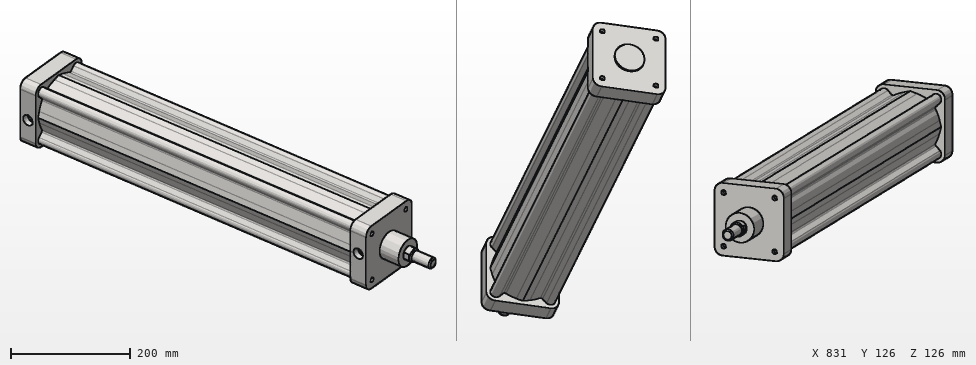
import cadquery as cq
import math

total_length = 831.0
rear_face = -total_length / 2
rod_tip = total_length / 2

cap_side = 126.0
cap_thickness = 33.0
cap_corner_radius = 15.0
collar_radius = 26.0
rear_collar_height = 3.0
front_collar_height = 40.0
bolt_spacing = 93.0
bolt_hole_diameter = 8.0
bolt_hole_depth = 8.0
port_diameter = 20.0
port_offset = 8.0
port_depth = 12.5

barrel_length = 667.0
lobe_centre = 47.0
lobe_radius = 9.0
ridge_height = lobe_centre + lobe_radius
ridge_half_width = 12.0
ridge_slope = math.radians(15)
bulge_radius = 83.0
valley_fillet = 3.0

rod_diameter = 25.0
flats_width = 22.0
flats_length = 12.0
shoulder_length = 16.0
shoulder_chamfer = 2.5
thread_diameter = 20.0
thread_chamfer = 2.5

rear_cap_start = rear_face + rear_collar_height
barrel_start = rear_cap_start + cap_thickness
barrel_end = barrel_start + barrel_length
front_cap_end = barrel_end + cap_thickness
front_collar_end = front_cap_end + front_collar_height
shoulder_end = front_collar_end + shoulder_length


def disc_along_x(start, end, diameter):
    """Solid cylinder on the X axis between two stations."""
    return cq.Workplane("YZ", origin=(start, 0, 0)).circle(diameter / 2).extrude(end - start)


def make_cap(inner_x, outward, collar_height, port_z):
    """Square end cap on the barrel end at inner_x; outward is the X direction of its collar."""
    outer_x = inner_x + outward * cap_thickness
    cap = (
        cq.Workplane("YZ", origin=(inner_x, 0, 0))
        .rect(cap_side, cap_side)
        .extrude(outward * cap_thickness)
        .edges("|X")
        .fillet(cap_corner_radius)
    )
    cap = cap.union(disc_along_x(outer_x, outer_x + outward * collar_height, 2 * collar_radius))

    bolt_holes = (
        cq.Workplane("YZ", origin=(outer_x, 0, 0))
        .rect(bolt_spacing, bolt_spacing, forConstruction=True)
        .vertices()
        .circle(bolt_hole_diameter / 2)
        .extrude(-outward * bolt_hole_depth)
    )
    port = (
        cq.Workplane("XZ", origin=((inner_x + outer_x) / 2, -cap_side / 2, port_z))
        .circle(port_diameter / 2)
        .extrude(-port_depth)
    )
    return cap.cut(bolt_holes).cut(port)


def bulge_centre():
    """Centre (along the side, outward) of the bulge arc, tangent to the ridge slope at its shoulder."""
    shoulder_height = ridge_height - ridge_half_width * math.tan(ridge_slope)
    return (
        ridge_half_width - bulge_radius * math.sin(ridge_slope),
        shoulder_height - bulge_radius * math.cos(ridge_slope),
    )


def bulge_point(along):
    """Point (along the side, outward) on the bulge arc."""
    centre_along, centre_out = bulge_centre()
    return along, centre_out + math.sqrt(bulge_radius**2 - (along - centre_along) ** 2)


def valley_position():
    """Distance along a side at which the bulge arc meets the 45 degree flank of the lobe."""
    centre_along, centre_out = bulge_centre()
    flank_offset = math.sqrt(2) * lobe_radius
    gap = flank_offset + centre_along - centre_out
    return centre_along + (math.sqrt(2 * bulge_radius**2 - gap**2) - gap) / 2


def swapped(point):
    """Mirror image of a point across the diagonal through the corner lobe."""
    return point[1], point[0]


def turned(point, quarter):
    """Point turned clockwise about the axis by a number of quarter turns."""
    for _ in range(quarter):
        point = (point[1], -point[0])
    return point


def make_barrel():
    """Extruded barrel: a shallow ridge and bulge on each side and a round lobe at each corner."""
    valley = valley_position()
    ridge = (0, ridge_height)
    shoulder = bulge_point(ridge_half_width)
    bulge_middle = bulge_point((ridge_half_width + valley) / 2)
    valley_foot = bulge_point(valley)
    tangent_step = lobe_radius * math.sqrt(0.5)
    lobe_start = (lobe_centre - tangent_step, lobe_centre + tangent_step)
    lobe_tip = (lobe_centre + tangent_step, lobe_centre + tangent_step)

    profile = cq.Workplane("YZ", origin=(barrel_start, 0, 0)).moveTo(*ridge)
    for quarter in range(4):
        if quarter > 0:
            profile = profile.lineTo(*turned(ridge, quarter))
        profile = (
            profile.lineTo(*turned(shoulder, quarter))
            .threePointArc(turned(bulge_middle, quarter), turned(valley_foot, quarter))
            .lineTo(*turned(lobe_start, quarter))
            .threePointArc(turned(lobe_tip, quarter), turned(swapped(lobe_start), quarter))
            .lineTo(*turned(swapped(valley_foot), quarter))
            .threePointArc(turned(swapped(bulge_middle), quarter), turned(swapped(shoulder), quarter))
        )
    barrel = profile.close().extrude(barrel_length)

    middle_x = (barrel_start + barrel_end) / 2
    for quarter in range(4):
        for foot in (valley_foot, swapped(valley_foot)):
            valley_edge = cq.selectors.NearestToPointSelector((middle_x, *turned(foot, quarter)))
            barrel = barrel.edges(valley_edge).fillet(valley_fillet)
    return barrel


def make_rod():
    """Piston rod with two wrench flats, a chamfered shoulder and a reduced end."""
    shank = disc_along_x(barrel_end, shoulder_end, rod_diameter).faces(">X").chamfer(shoulder_chamfer)
    thread = disc_along_x(shoulder_end, rod_tip, thread_diameter).faces(">X").chamfer(thread_chamfer)
    for side in (-1, 1):
        flat = cq.Workplane("XY").box(flats_length, rod_diameter, rod_diameter).translate(
            (front_collar_end + flats_length / 2, side * (flats_width + rod_diameter) / 2, 0)
        )
        shank = shank.cut(flat)
    return shank.union(thread)


rear_cap = make_cap(barrel_start, -1, rear_collar_height, -port_offset)
barrel = make_barrel()
rod = make_rod()
rod_bore = disc_along_x(barrel_end, front_collar_end, rod_diameter)
front_cap = make_cap(barrel_end, 1, front_collar_height, port_offset).cut(rod_bore)

result = cq.Compound.makeCompound([rear_cap.val(), barrel.val(), front_cap.val(), rod.val()])